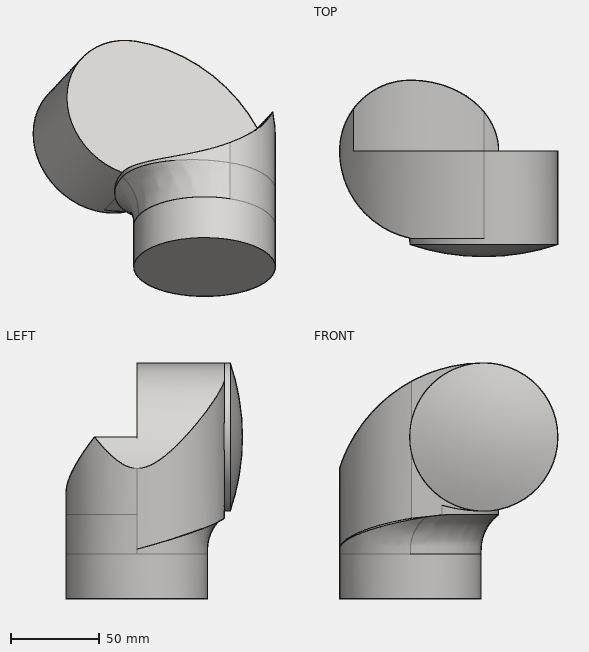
import cadquery as cq
import math

BASE_R = 40.2
FLARE = 10.5
RIGHT_FLARE = 9.9
FLARE_BOTTOM_Z = 25.5
FLARE_MIDDLE_Z = 38.9
FLARE_MIDDLE_SHARE = 0.25
RIM_Z = 48.0
RIM_LEFT_Z = 28.3
FRONT_FLAT_Y = -49.7
FRONT_FLAT_HALF = math.sqrt((BASE_R + FLARE) ** 2 - FRONT_FLAT_Y**2)
FRONT_FLAT_LEFT_X = FLARE - FRONT_FLAT_HALF
FRONT_FLAT_RIGHT_X = FLARE + FRONT_FLAT_HALF
FRONT_RIM_Z = 45.8

DRUM_R = 42.1
DRUM_X = 41.7
TOP_Z = 134.0
DRUM_Z = TOP_Z - DRUM_R
DRUM_LENGTH = 53.0
DOME_HEIGHT = 7.0

ROOF_LEFT_Z = 74.1
ROOF_RUN = DRUM_X + BASE_R
ROOF_RISE = TOP_Z - ROOF_LEFT_Z
ROOF_R = (ROOF_RUN**2 + ROOF_RISE**2) / (2 * ROOF_RISE)
ROOF_CENTRE_Z = TOP_Z - ROOF_R
TIP_X = DRUM_X - math.sqrt(ROOF_R**2 - (DRUM_Z - ROOF_CENTRE_Z) ** 2)

MARGIN = 26.8
QUARTER_STEPS = 6


def quarter_ellipse(centre_x, half_x, half_y, start_angle):
    """Points on a counter-clockwise quarter turn, after its start point."""
    angles = [start_angle + math.pi / 2 * i / QUARTER_STEPS for i in range(1, QUARTER_STEPS + 1)]
    return [(centre_x + half_x * math.cos(a), half_y * math.sin(a)) for a in angles]


def body_outline(z, share):
    """Plan outline of the upright body after the given share of its flare."""
    growth = FLARE * share
    front_r = BASE_R + growth
    right_x = BASE_R + RIGHT_FLARE * share
    diagonal = math.sqrt(0.5)
    return (
        cq.Workplane("XY", origin=(0, 0, z))
        .moveTo(-BASE_R, 0)
        .threePointArc((growth - front_r * diagonal, -front_r * diagonal), (growth, -front_r))
        .spline(
            quarter_ellipse(growth, right_x - growth, front_r, -math.pi / 2),
            includeCurrent=True,
        )
        .spline(
            quarter_ellipse(0, right_x, BASE_R, 0),
            includeCurrent=True,
        )
        .threePointArc((-BASE_R * diagonal, BASE_R * diagonal), (-BASE_R, 0))
        .close()
    )


def flare():
    wires = [
        body_outline(z, share).wires().val()
        for z, share in (
            (FLARE_BOTTOM_Z, 0),
            (FLARE_MIDDLE_Z, FLARE_MIDDLE_SHARE),
            (RIM_Z, 1),
        )
    ]
    return cq.Workplane(cq.Solid.makeLoft(wires))


def upper_body():
    """Enlarged upright whose lower rim slopes down towards the left."""
    upper = body_outline(RIM_Z, 1).extrude(TOP_Z - RIM_Z)
    slope_x = (RIM_Z - FRONT_RIM_Z) / (FRONT_FLAT_RIGHT_X - FRONT_FLAT_LEFT_X)
    left_run = FRONT_FLAT_LEFT_X + BASE_R
    slope_y = (FRONT_RIM_Z - RIM_LEFT_Z - slope_x * left_run) / FRONT_FLAT_Y
    rim_plane = cq.Plane(
        origin=(-BASE_R, 0, RIM_LEFT_Z), xDir=(1, 0, slope_x), normal=(-slope_x, -slope_y, 1)
    )
    above_rim = cq.Workplane(rim_plane).rect(2 * TOP_Z, 2 * TOP_Z).extrude(TOP_Z)
    front_left = (
        cq.Workplane("XY", origin=(-BASE_R, FRONT_FLAT_Y, 0))
        .rect(FRONT_FLAT_RIGHT_X + BASE_R, -FRONT_FLAT_Y, centered=False)
        .extrude(RIM_Z)
    )
    skirt = body_outline(0, 1).extrude(RIM_Z).intersect(front_left).intersect(above_rim)
    return upper.union(skirt)


def upright():
    base = cq.Workplane("XY").circle(BASE_R).extrude(FLARE_BOTTOM_Z)
    body = base.union(flare()).union(upper_body())
    front_space = (
        cq.Workplane("XY", origin=(0, FRONT_FLAT_Y - MARGIN / 2, 0))
        .rect(2 * TOP_Z, MARGIN)
        .extrude(TOP_Z)
    )
    return body.cut(front_space)


def above_roof():
    """Space over the roof arch, left of the drum axis."""
    arc_mid_angle = (math.pi / 2 + math.atan2(ROOF_LEFT_Z - ROOF_CENTRE_Z, -ROOF_RUN)) / 2
    arc_mid = (
        DRUM_X + ROOF_R * math.cos(arc_mid_angle),
        ROOF_CENTRE_Z + ROOF_R * math.sin(arc_mid_angle),
    )
    return (
        cq.Workplane("XZ", origin=(0, BASE_R + MARGIN, 0))
        .moveTo(-BASE_R, ROOF_LEFT_Z)
        .threePointArc(arc_mid, (DRUM_X, TOP_Z))
        .lineTo(DRUM_X, TOP_Z + MARGIN)
        .lineTo(-BASE_R - MARGIN, TOP_Z + MARGIN)
        .lineTo(-BASE_R - MARGIN, ROOF_LEFT_Z)
        .close()
        .extrude(2 * TOP_Z)
    )


def lower_arch_middle():
    """Middle point of the roof arc mirrored about drum axis height."""
    mirrored_centre_z = 2 * DRUM_Z - ROOF_CENTRE_Z
    angle = (math.atan2(DRUM_Z - mirrored_centre_z, TIP_X - DRUM_X) - math.pi / 2) / 2
    return (DRUM_X + ROOF_R * math.cos(angle), mirrored_centre_z + ROOF_R * math.sin(angle))


def rear_opening():
    """Space behind the drum: a pointed arch on the left, the drum curve on the right."""
    drum_mid = (DRUM_X + DRUM_R * math.sqrt(0.5), DRUM_Z - DRUM_R * math.sqrt(0.5))
    return (
        cq.Workplane("XZ")
        .moveTo(TIP_X, DRUM_Z)
        .threePointArc(lower_arch_middle(), (DRUM_X, DRUM_Z - DRUM_R))
        .threePointArc(drum_mid, (DRUM_X + DRUM_R, DRUM_Z))
        .lineTo(DRUM_X + DRUM_R, TOP_Z + MARGIN)
        .lineTo(TIP_X, TOP_Z + MARGIN)
        .close()
        .extrude(-BASE_R - MARGIN)
    )


def arm():
    """Flat-fronted block joining the upright to the drum, over the lower arch."""
    width = DRUM_X - FRONT_FLAT_LEFT_X
    over_lower_arch = (
        cq.Workplane("XZ")
        .moveTo(TIP_X, DRUM_Z)
        .threePointArc(lower_arch_middle(), (DRUM_X, DRUM_Z - DRUM_R))
        .lineTo(DRUM_X, TOP_Z)
        .lineTo(TIP_X, TOP_Z)
        .close()
        .extrude(-FRONT_FLAT_Y)
    )
    beside_flat_front = (
        cq.Workplane("XY", origin=(FRONT_FLAT_LEFT_X, FRONT_FLAT_Y, 0))
        .rect(width, -FRONT_FLAT_Y, centered=False)
        .extrude(TOP_Z)
    )
    return over_lower_arch.intersect(beside_flat_front)


def drum():
    """Drum with a shallow spherical cap on its front end."""
    dome_r = (DRUM_R**2 + DOME_HEIGHT**2) / (2 * DOME_HEIGHT)
    half_angle = math.asin(DRUM_R / dome_r) / 2
    dome_tip_y = -DRUM_LENGTH - DOME_HEIGHT
    dome_mid = (dome_r * math.sin(half_angle), dome_tip_y + dome_r * (1 - math.cos(half_angle)))
    return (
        cq.Workplane("XY", origin=(DRUM_X, 0, DRUM_Z))
        .lineTo(DRUM_R, 0)
        .lineTo(DRUM_R, -DRUM_LENGTH)
        .threePointArc(dome_mid, (0, dome_tip_y))
        .close()
        .revolve(360, (0, 0), (0, 1))
    )


def beyond_drum():
    """Space right of the drum axis and above it, where only the drum remains."""
    centre_x = DRUM_X + MARGIN / 2
    return (
        cq.Workplane("XY", origin=(centre_x, 0, DRUM_Z))
        .rect(MARGIN, TOP_Z)
        .extrude(DRUM_R + MARGIN)
    )


result = (
    upright()
    .union(arm())
    .cut(above_roof())
    .cut(rear_opening())
    .cut(beyond_drum())
    .union(drum())
)